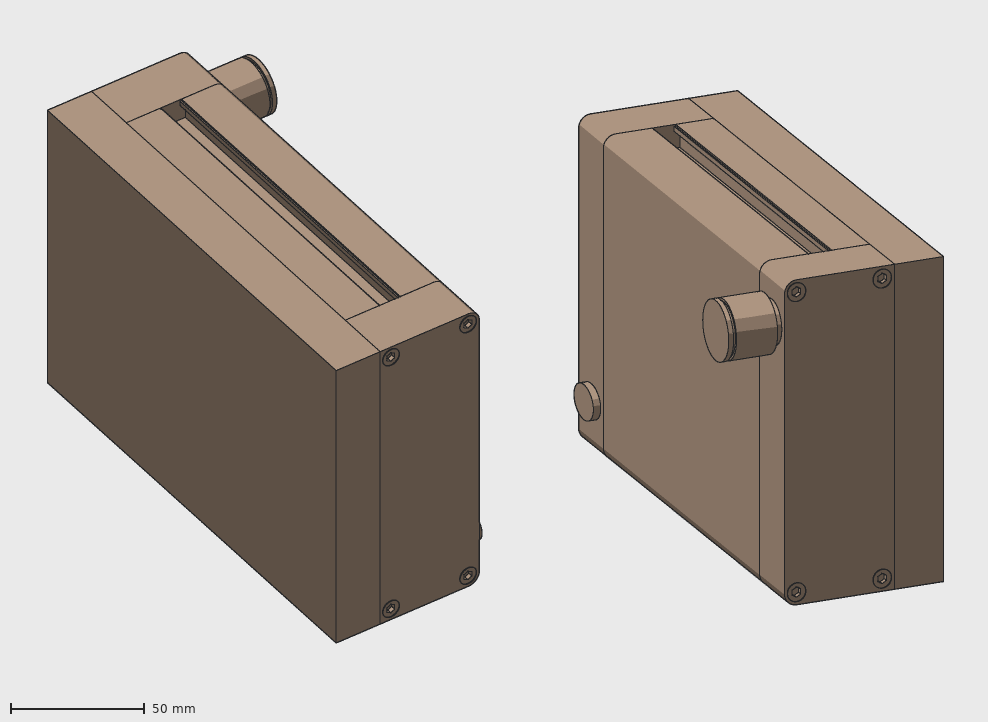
import cadquery as cq
import math

LENGTH = 190
HEIGHT = 130
PAD_DEPTH = 20
BODY_BACK = 65
BODY_DEPTH = BODY_BACK - PAD_DEPTH
CAP_LENGTH = 23
PROFILE_LENGTH = LENGTH - 2 * CAP_LENGTH
BACK_EDGE_RADIUS = 5

SLOT_CENTRE_Y = 40.25
SLOT_RECESS_WIDTH = 9.5
SLOT_RECESS_DEPTH = 0.7
SLOT_MOUTH_WIDTH = 8.2
SLOT_LIP_BOTTOM = 2.7
SLOT_WIDTH = 13
SLOT_DEPTH = 9.5

SCREW_EDGE_OFFSET = 5
FRONT_SCREW_Y = PAD_DEPTH + SCREW_EDGE_OFFSET
BACK_SCREW_Y = BODY_BACK - SCREW_EDGE_OFFSET
SCREW_SPACING_Y = BACK_SCREW_Y - FRONT_SCREW_Y
SCREW_SPACING_Z = HEIGHT - 2 * SCREW_EDGE_OFFSET
HEAD_DIAMETER = 7.5
HEAD_RECESS_DEPTH = 0.3
SOCKET_ACROSS_FLATS = 3.5
SOCKET_ACROSS_CORNERS = SOCKET_ACROSS_FLATS / math.cos(math.pi / 6)
SOCKET_DEPTH = 2

CONNECTOR_EDGE_OFFSET = 20

FITTING_X = CAP_LENGTH / 2
FITTING_Z = HEIGHT - CONNECTOR_EDGE_OFFSET
STEM_DIAMETER = 18
STEM_LENGTH = 3
COLLAR_DIAMETER = 24
COLLAR_LENGTH = 20
RING_LENGTH = 2
GROOVE_LENGTH = 1.2
GROOVE_DIAMETER = 22

BOSS_X = LENGTH - CAP_LENGTH / 2
BOSS_Z = CONNECTOR_EDGE_OFFSET
BOSS_LENGTH = 18
BOSS_HEIGHT = 14
BOSS_PROJECTION = 3


def back_section(x_start, length):
    """Length of the housing behind the pad, with both back edges rounded."""
    block = cq.Workplane("XY").box(length, BODY_DEPTH, HEIGHT, centered=False)
    block = block.edges("|X and >Y").fillet(BACK_EDGE_RADIUS)
    return block.translate((x_start, PAD_DEPTH, 0))


def back_sketch(x, y, z):
    """Workplane centred at the given point and facing the back (+Y)."""
    return cq.Workplane(cq.Plane(origin=(x, y, z), xDir=(1, 0, 0), normal=(0, 1, 0)))


def back_cylinder(x, z, y_start, diameter, length):
    return back_sketch(x, y_start, z).circle(diameter / 2).extrude(length)


def make_pad():
    return cq.Workplane("XY").box(LENGTH, PAD_DEPTH, HEIGHT, centered=False)


def slot_level(width, top_depth, bottom_depth):
    """One rectangular level of the T-slot between two depths below the top."""
    height = bottom_depth - top_depth
    level = cq.Workplane("XY").box(PROFILE_LENGTH, width, height, centered=(False, True, False))
    return level.translate((CAP_LENGTH, SLOT_CENTRE_Y, HEIGHT - bottom_depth))


def make_profile():
    profile = back_section(CAP_LENGTH, PROFILE_LENGTH)
    profile = profile.cut(slot_level(SLOT_RECESS_WIDTH, 0, SLOT_RECESS_DEPTH))
    profile = profile.cut(slot_level(SLOT_MOUTH_WIDTH, SLOT_RECESS_DEPTH, SLOT_LIP_BOTTOM))
    return profile.cut(slot_level(SLOT_WIDTH, SLOT_LIP_BOTTOM, SLOT_DEPTH))


def make_cap(x_start, outer_x, inward):
    """End cap with four recessed screw sockets; inward is the X direction into the cap."""
    cap = back_section(x_start, CAP_LENGTH)
    pattern_centre = (outer_x, (FRONT_SCREW_Y + BACK_SCREW_Y) / 2, HEIGHT / 2)
    face = cq.Plane(origin=pattern_centre, xDir=(0, 0, 1), normal=(inward, 0, 0))
    spots = cq.Workplane(face).rarray(SCREW_SPACING_Z, SCREW_SPACING_Y, 2, 2)
    heads = spots.circle(HEAD_DIAMETER / 2).extrude(HEAD_RECESS_DEPTH)
    sockets = spots.polygon(6, SOCKET_ACROSS_CORNERS).extrude(HEAD_RECESS_DEPTH + SOCKET_DEPTH)
    return cap.cut(heads).cut(sockets)


def add_fitting(cap):
    stem = back_cylinder(FITTING_X, FITTING_Z, BODY_BACK, STEM_DIAMETER, STEM_LENGTH)
    collar_start = BODY_BACK + STEM_LENGTH
    collar = back_cylinder(FITTING_X, FITTING_Z, collar_start, COLLAR_DIAMETER, COLLAR_LENGTH)
    groove_start = collar_start + COLLAR_LENGTH - RING_LENGTH - GROOVE_LENGTH
    groove = (
        back_sketch(FITTING_X, groove_start, FITTING_Z)
        .circle(COLLAR_DIAMETER / 2)
        .circle(GROOVE_DIAMETER / 2)
        .extrude(GROOVE_LENGTH)
    )
    return cap.union(stem).union(collar.cut(groove))


def add_boss(cap):
    boss = back_sketch(BOSS_X, BODY_BACK, BOSS_Z).ellipse(BOSS_LENGTH / 2, BOSS_HEIGHT / 2)
    return cap.union(boss.extrude(BOSS_PROJECTION))


pad = make_pad()
profile = make_profile()
left_cap = add_fitting(make_cap(0, 0, 1))
right_cap = add_boss(make_cap(LENGTH - CAP_LENGTH, LENGTH, -1))

result = cq.Compound.makeCompound(
    [pad.val(), profile.val(), left_cap.val(), right_cap.val()]
)